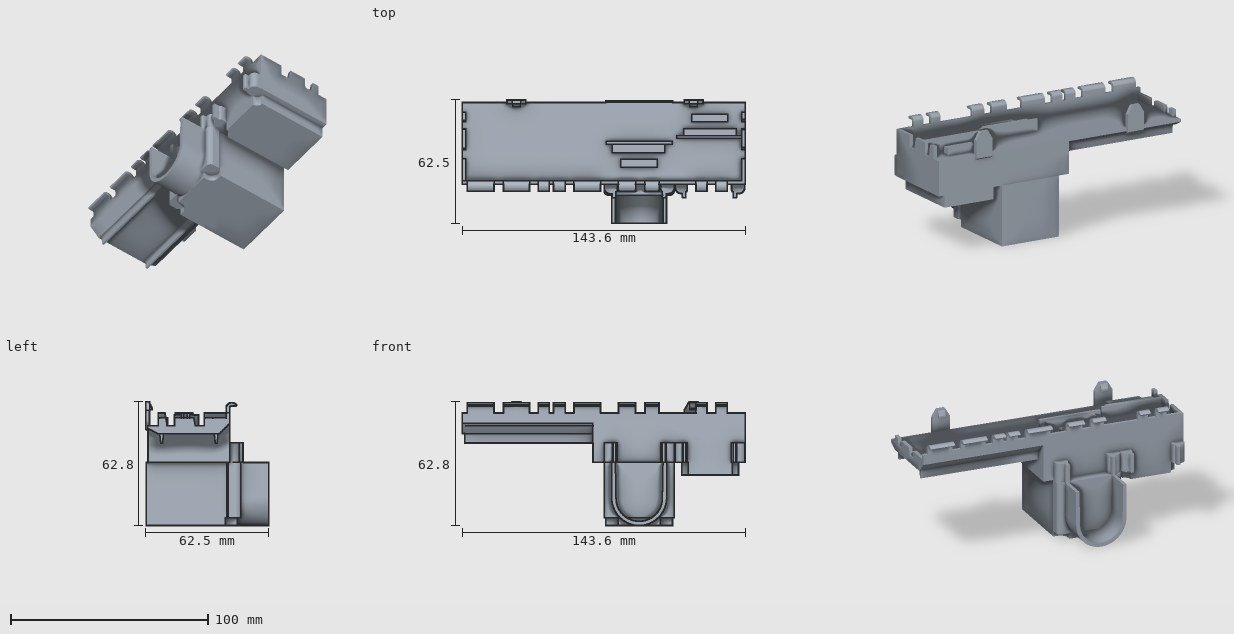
import cadquery as cq
import math


length = 143.55
overall_depth = 62.52
body_depth = 41.5
deck_z = 50.6
wall_top_z = 57.1
block_bottom_z = 31.95
block_left = 66.3

plank_bottom_z = 46.6
plank_front_z = 51.8
plank_front_flat_y = 5.2
plank_back_z = 49.2
plank_back_flat_y = 36.6

skirt_start = 1.3
skirt_bottom_z = 41.8
skirt_root_width = 2.0
skirt_tip_width = 0.9
skirt_centers_y = [6.95, 34.6]

wall_thickness = 1.9
hook_top_z = 62.3
hook_thickness = 1.85
hook_inner_radius = 0.6
hook_reach = 3.55
hook_crown_radius = 3.0
hook_crown_offset = 2.85
tip_crown_setback = 0.95
tip_lip_setback = 0.5
tip_rise = 0.75
hook_spans = [
    (2.6, 16.2),
    (20.9, 34.2),
    (38.5, 44.3),
    (46.3, 52.3),
    (56.7, 70.2),
    (79.2, 88.0),
    (92.6, 99.8),
    (118.5, 124.2),
    (128.5, 134.4),
]

end_wall_segments = [
    (wall_thickness, wall_thickness, 13.0, 13.0),
    (17.5, 18.8, 27.7, 28.1),
    (31.8, 32.9, 36.4, 36.4),
]
left_wall_top_z = 54.5

ridge_fence_z = 57.0
ridge_block_z = 56.1
ridge_low_z = 54.5
ridge_limits = [
    (73.1, 106.5, 20.3, 21.7, ridge_fence_z),
    (76.0, 102.7, 15.9, 20.3, ridge_block_z),
    (80.4, 98.8, 8.6, 12.7, ridge_low_z),
    (108.9, length - wall_thickness, 23.4, 24.7, ridge_fence_z),
    (112.4, 138.9, 24.7, 28.2, ridge_block_z),
    (116.4, 134.6, 31.6, 35.6, ridge_low_z),
]

latch_left_edges = [22.75, 112.5]
latch_width = 9.6
latch_back_y = 42.75
latch_thickness = 2.05
latch_top_z = 62.75
latch_shoulder_z = 58.4
latch_shoulder_width = 2.6
latch_bottom_z = 48.9
latch_root_z = 47.9
latch_root_y = 41.4
nib_width = 3.75
nib_reach = 1.3
nib_top_z = 62.2
nib_lip_z = 59.5
nib_bottom_z = 58.6

box_left = 72.8
box_width = 33.9
box_center = box_left + box_width / 2
box_back_y = 42.4
box_front_y = -5.6
foot_height = 3.9
foot_front_y = -3.8
foot_corner_y = 2.3
foot_corner_radius = 4.0
foot_corner_inset = 6.3
column_flare = 0.85
column_flare_back_y = 1.7
column_flare_front_y = 0.9
column_round_start_y = -3.4
column_round_width = 2.9
column_round_radius = 2.8

trough_radius = 13.9
trough_front_y = latch_back_y - overall_depth
trough_inner_radius = 11.75
trough_inner_top_half = 12.1

post_top_z = 42.0
post_length_y = 6.9
neck_width = 1.95
post_round_radius = 3.0
post_flank_y = -1.7
post_shoulder_y = -2.5
post_neck_y = -3.9
post_shoulder_radius = 1.5
neck_chamfer = 0.5
wide_post_width = 6.8
wide_post_neck_offset = 4.05
narrow_post_width = 6.2
narrow_post_neck_offset = 3.5
narrow_post_left = 108.0
last_post_right = 143.3

small_box_center = 125.7
small_box_half = 14.45
small_box_bottom_z = 25.5
small_box_corner_radius = 3.3


def box(x0, x1, y0, y1, z0, z1):
    """Axis-aligned box between the given limits."""
    return cq.Workplane("XY").box(x1 - x0, y1 - y0, z1 - z0, centered=False).translate((x0, y0, z0))


def extrude_along_x(profile, x0, x1):
    """Sweep a closed (y, z) wire from x0 to x1."""
    return profile.close().extrude(x1 - x0).translate((x0, 0, 0))


def mirrored_pair(shape, center_x):
    """A shape together with its mirror image about the plane x = center_x."""
    return shape.union(shape.mirror("YZ", (center_x, 0, 0)))


def make_body():
    """Plank with a sloped underside and a front wall, deepened into a block at the right."""
    plank_points = [
        (0, wall_top_z),
        (0, plank_front_z),
        (plank_front_flat_y, plank_bottom_z),
        (plank_back_flat_y, plank_bottom_z),
        (body_depth, plank_back_z),
        (body_depth, deck_z),
        (wall_thickness, deck_z),
        (wall_thickness, wall_top_z),
    ]
    plank = extrude_along_x(cq.Workplane("YZ").polyline(plank_points), 0, length)
    block = box(block_left, length, 0, body_depth, block_bottom_z, deck_z)
    front_fill = box(block_left, length, 0, wall_thickness, block_bottom_z, wall_top_z)
    return plank.union(block).union(front_fill)


def make_skirt(center_y):
    """Tapered strip hanging below the plank along its length."""
    points = [
        (center_y - skirt_root_width / 2, plank_bottom_z),
        (center_y - skirt_tip_width / 2, skirt_bottom_z),
        (center_y + skirt_tip_width / 2, skirt_bottom_z),
        (center_y + skirt_root_width / 2, plank_bottom_z),
    ]
    return extrude_along_x(cq.Workplane("YZ").polyline(points), skirt_start, block_left)


def make_hook(x0, x1):
    """Snap hook rising from the front wall and curling forward to a blunt tip."""
    lip_z = hook_top_z - hook_thickness
    inner_bend_z = lip_z - hook_inner_radius
    crown_center_y = hook_thickness - hook_crown_offset
    crown_center_z = hook_top_z - hook_crown_radius
    outer_bend_z = crown_center_z + math.sqrt(hook_crown_radius**2 - hook_crown_offset**2)
    crown_end_y = tip_crown_setback - hook_reach
    crown_end_offset = crown_end_y - crown_center_y
    crown_end_z = crown_center_z + math.sqrt(hook_crown_radius**2 - crown_end_offset**2)
    profile = (
        cq.Workplane("YZ")
        .moveTo(0, wall_top_z)
        .lineTo(0, inner_bend_z)
        .radiusArc((-hook_inner_radius, lip_z), -hook_inner_radius)
        .lineTo(tip_lip_setback - hook_reach, lip_z)
        .lineTo(-hook_reach, lip_z + tip_rise)
        .lineTo(crown_end_y, crown_end_z)
        .threePointArc((crown_center_y, hook_top_z), (hook_thickness, outer_bend_z))
        .lineTo(hook_thickness, wall_top_z)
    )
    return extrude_along_x(profile, x0, x1)


def make_end_wall(x0, x1, top_z):
    """Segmented end wall between x0 and x1, cut off level at top_z."""
    blank = box(x0, x1, wall_thickness, body_depth, deck_z, top_z)
    profiles = cq.Workplane("YZ")
    for front_base, front_top, back_top, back_base in end_wall_segments:
        profiles = profiles.polyline([
            (front_base, deck_z),
            (front_top, wall_top_z),
            (back_top, wall_top_z),
            (back_base, deck_z),
        ]).close()
    return blank.intersect(profiles.extrude(length))


def make_ridges():
    """Fences and blocks standing on the deck above the two boxes."""
    ridges = None
    for x0, x1, y0, y1, top_z in ridge_limits:
        ridge = box(x0, x1, y0, y1, deck_z, top_z)
        ridges = ridge if ridges is None else ridges.union(ridge)
    return ridges


def make_latch(left):
    """Upright back latch with sloped shoulders and a wedge nib."""
    right = left + latch_width
    front_y = latch_back_y - latch_thickness
    stem_points = [
        (front_y, latch_top_z),
        (latch_back_y, latch_top_z),
        (latch_back_y, latch_bottom_z),
        (latch_root_y, latch_root_z),
        (latch_root_y, deck_z),
        (front_y, deck_z),
    ]
    stem = extrude_along_x(cq.Workplane("YZ").polyline(stem_points), left, right)
    outline = (
        cq.Workplane("XZ")
        .polyline([
            (left, latch_root_z),
            (left, latch_shoulder_z),
            (left + latch_shoulder_width, latch_top_z),
            (right - latch_shoulder_width, latch_top_z),
            (right, latch_shoulder_z),
            (right, latch_root_z),
        ])
        .close()
        .extrude(-latch_back_y)
    )
    nib_left = left + (latch_width - nib_width) / 2
    nib_points = [
        (front_y, nib_top_z),
        (front_y - nib_reach, nib_lip_z),
        (front_y - nib_reach, nib_bottom_z),
        (front_y, nib_bottom_z),
    ]
    nib = extrude_along_x(cq.Workplane("YZ").polyline(nib_points), nib_left, nib_left + nib_width)
    return stem.intersect(outline).union(nib)


def make_trough_box():
    """Deep box with flared, rounded front columns and a stepped foot."""
    inner_corner_x = box_left + foot_corner_inset
    foot_front_corner_y = foot_corner_y - foot_corner_radius
    foot_half = (
        cq.Workplane("XY")
        .moveTo(box_center, box_back_y)
        .lineTo(box_left, box_back_y)
        .lineTo(box_left, foot_corner_y)
        .lineTo(inner_corner_x - foot_corner_radius, foot_corner_y)
        .radiusArc((inner_corner_x, foot_front_corner_y), foot_corner_radius)
        .lineTo(inner_corner_x, foot_front_y)
        .lineTo(box_center, foot_front_y)
        .close()
        .extrude(foot_height)
    )
    column_x = box_left - column_flare
    column_half = (
        cq.Workplane("XY", origin=(0, 0, foot_height))
        .moveTo(box_center, box_back_y)
        .lineTo(box_left, box_back_y)
        .lineTo(box_left, column_flare_back_y)
        .lineTo(column_x, column_flare_front_y)
        .lineTo(column_x, column_round_start_y)
        .radiusArc((column_x + column_round_width, box_front_y), -column_round_radius)
        .lineTo(box_center, box_front_y)
        .close()
        .extrude(block_bottom_z - foot_height)
    )
    return mirrored_pair(foot_half.union(column_half), box_center)


def make_trough():
    """U-shaped trough running forward from the deep box."""
    def u_prism(radius, top_half_width):
        return (
            cq.Workplane("XZ", origin=(0, foot_front_y, 0))
            .moveTo(box_center - top_half_width, block_bottom_z)
            .lineTo(box_center - radius, trough_radius)
            .threePointArc((box_center, trough_radius - radius), (box_center + radius, trough_radius))
            .lineTo(box_center + top_half_width, block_bottom_z)
            .close()
            .extrude(foot_front_y - trough_front_y)
        )

    outer = u_prism(trough_radius, trough_radius)
    inner = u_prism(trough_inner_radius, trough_inner_top_half)
    return outer.cut(inner)


def make_post(neck_offset, width):
    """Rounded post with a flat neck; the round flank starts at x = 0."""
    neck_right = neck_offset + neck_width
    front_y = post_flank_y - post_round_radius
    return (
        cq.Workplane("XY", origin=(0, 0, block_bottom_z))
        .moveTo(0, 0)
        .lineTo(0, post_flank_y)
        .radiusArc((post_round_radius, front_y), -post_round_radius)
        .lineTo(neck_offset, front_y)
        .lineTo(neck_offset, neck_chamfer - post_length_y)
        .lineTo(neck_offset + neck_chamfer, -post_length_y)
        .lineTo(neck_right, -post_length_y)
        .lineTo(neck_right, post_neck_y)
        .radiusArc((width, post_shoulder_y), -post_shoulder_radius)
        .lineTo(width, 0)
        .close()
        .extrude(post_top_z - block_bottom_z)
    )


def make_small_box():
    """Shallow box under the block with hollow-rounded front corners."""
    left = small_box_center - small_box_half
    corner_right = left + small_box_corner_radius
    half = (
        cq.Workplane("XY", origin=(0, 0, small_box_bottom_z))
        .moveTo(small_box_center, 0)
        .lineTo(corner_right, 0)
        .radiusArc((left, small_box_corner_radius), -small_box_corner_radius)
        .lineTo(left, body_depth)
        .lineTo(small_box_center, body_depth)
        .close()
        .extrude(block_bottom_z - small_box_bottom_z)
    )
    return mirrored_pair(half, small_box_center)


result = make_body()
for skirt_y in skirt_centers_y:
    result = result.union(make_skirt(skirt_y))
for hook_start, hook_end in hook_spans:
    result = result.union(make_hook(hook_start, hook_end))
result = result.union(make_end_wall(0, wall_thickness, left_wall_top_z))
result = result.union(make_end_wall(length - wall_thickness, length, wall_top_z))
result = result.union(make_ridges())
for latch_left in latch_left_edges:
    result = result.union(make_latch(latch_left))
result = result.union(make_trough_box())
result = result.union(make_trough())
result = result.union(make_small_box())

wide_post = make_post(wide_post_neck_offset, wide_post_width)
narrow_post = make_post(narrow_post_neck_offset, narrow_post_width)
trough_post = wide_post.translate((box_left - column_flare, 0, 0))
result = result.union(mirrored_pair(trough_post, box_center))
result = result.union(narrow_post.translate((narrow_post_left, 0, 0)))
result = result.union(wide_post.mirror("YZ").translate((last_post_right, 0, 0)))